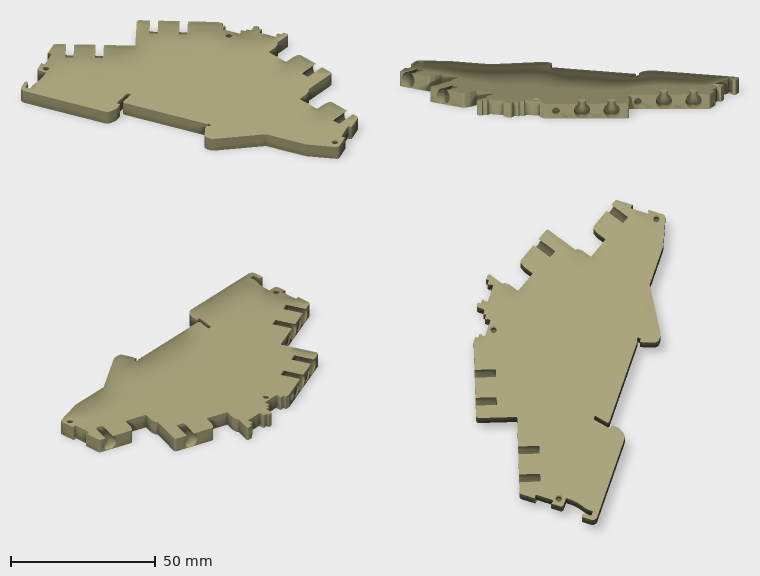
import cadquery as cq
import math

length = 114.17
height = 63.75
thickness = 5.2
slope_angle = 20.0
floor_skin = 0.5

left_wall_x = 1.38
left_tier_valley = (27.83, 37.74)
left_corner_radius = 1.0
left_tier_rise = 14.18

right_tier_valley = (71.83, 51.9)
right_tier_shift = (19.76, -20.0)
tier_block_start = 8.15
tier_block_lead_in = 8.75
tier_lead_in_height = 3.65
tier_block_height = 6.2
tier_end = 24.1
tier_end_step = (24.8, -6.6)
tier_end_step_foot = (25.4, -8.4)
tier_end_depth = -6.2
tier_corner_radius = 0.8
tier_lead_in_radius = 1.0

notch_mouth_half = 2.95
notch_floor_half = 2.7
notch_pocket_half = 3.15
notch_pocket_height = 1.25
notch_step_half = 4.45
notch_step_height = 2.07
notch_full_height = 3.1

tower_left_x = 61.7
tower_right_radius = 0.6
tower_left_radius = 0.87
tower_foot_radius = 0.6
tower_notch_x = 67.93
shoulder_notch_x = 55.6
shoulder_y = 60.69

left_notch_y = 19.55
right_notch_y = 21.2
side_notch_depth = 1.4

rail_y = 6.95
hook_floor_y = 3.83
hook_tip_y = 5.13
hook_mouth_top_y = 12.4
spring_slot_top_y = 12.4
foot_lip_y = 5.86
underside_y = 9.4
rail_relief_y = 7.3
rail_stop_x = 68.6
hook_pocket_x = (left_wall_x, 3.19)
hook_pocket_bottom_y = 2.1
hook_pocket_slant = 0.6

bore_radius = 2.78
bore_axis_z = 2.8
bore_length = 7.3
bore_floor_z = 0.22
bore_pitch = 10.25
lower_bore_along = -22.5
upper_bore_along = 6.03
right_bore_along = 17.94

screw_recess_diameter = 4.4
screw_recess_depth = 0.6
test_hole_diameter = 2.6
test_hole_depth = 5.0
test_hole_offset = 9.0

pin_hole_diameter = 1.9
pin_mouth_diameter = 2.75
pin_mouth_depth = 0.35
pin_hole_depth = 2.0
side_pin_y = 14.7
pin_hole_centers = [(55.6, 55.45), (3.9, side_pin_y), (111.8, side_pin_y)]

sin_slope = math.sin(math.radians(slope_angle))
cos_slope = math.cos(math.radians(slope_angle))


def shifted(point, shift, times=1):
    return (point[0] + times * shift[0], point[1] + times * shift[1])


def on_right_slope(valley, along, out):
    """Point given along and square to the slope that falls to the right."""
    return (valley[0] + along * cos_slope + out * sin_slope,
            valley[1] - along * sin_slope + out * cos_slope)


def on_left_slope(origin, along, out):
    """Point given along and square to the slope that rises to the right."""
    return (origin[0] + along * cos_slope - out * sin_slope,
            origin[1] + along * sin_slope + out * cos_slope)


upper_slope_corner = on_left_slope(left_tier_valley, 0, left_tier_rise)


def rounded_profile(corners):
    """Closed wire from (x, y, corner radius) entries."""
    joints = []
    count = len(corners)
    for i in range(count):
        x, y, radius = corners[i]
        before = cq.Vector(*corners[i - 1][:2])
        after = cq.Vector(*corners[(i + 1) % count][:2])
        corner = cq.Vector(x, y)
        if radius == 0:
            joints.append((corner, corner, corner))
            continue
        to_before = (before - corner).normalized()
        to_after = (after - corner).normalized()
        half_angle = to_before.getAngle(to_after) / 2
        setback = radius / math.tan(half_angle)
        bisector = (to_before + to_after).normalized()
        middle = corner + bisector * (radius / math.sin(half_angle) - radius)
        joints.append((corner + to_before * setback, middle, corner + to_after * setback))
    path = cq.Workplane("XY").moveTo(*joints[0][2].toTuple()[:2])
    for start, middle, end in joints[1:] + joints[:1]:
        path = path.lineTo(start.x, start.y)
        if start is not end:
            path = path.threePointArc((middle.x, middle.y), (end.x, end.y))
    return path.close()


def rail_foot_corners():
    """Underside from the hook, past the spring slot and the rail seat, to the right edge."""
    return [
        (0, 0, 1.75),
        (33.1, 0, 2.4),
        (35.0, 3.0, 2.0),
        (35.3, foot_lip_y, 0.5),
        (33.8, foot_lip_y, 0),
        (35.25, spring_slot_top_y, 0.5),
        (36.75, spring_slot_top_y, 0.3),
        (35.6, 7.5, 0),
        (36.0, rail_y, 0),
        (67.5, rail_y, 0),
        (67.5, rail_relief_y, 0),
        (rail_stop_x, rail_relief_y, 0),
        (rail_stop_x, 6.3, 0),
        (67.3, 6.0, 0),
        (67.5, 4.3, 3.0),
        (69.0, 0, 1.8),
        (72.1, 0, 2.2),
        (88.2, underside_y, 0),
        (103.1, underside_y, 0),
        (length, 12.2, 1.2),
    ]


def right_tier_corners():
    """Both right tiers from the right edge up to the tower, lower tier first."""
    corners = []
    lower_valley = shifted(right_tier_valley, right_tier_shift)
    edge_along = (length - lower_valley[0] - tier_block_height * sin_slope) / cos_slope
    end_along = {0: tier_end, 1: edge_along}
    for tier in (1, 0):
        valley = shifted(right_tier_valley, right_tier_shift, tier)
        previous = shifted(valley, right_tier_shift, -1)
        local = [
            (end_along[tier], tier_block_height, tier_corner_radius),
            (tier_block_lead_in, tier_block_height, tier_lead_in_radius),
            (tier_block_start, tier_lead_in_height, 0),
            (tier_block_start, 0, 0),
            (0, 0, 0),
        ]
        corners += [(*on_right_slope(valley, u, v), radius) for u, v, radius in local]
        end_wall = [tier_end_step_foot, tier_end_step, (tier_end, tier_end_depth)]
        corners += [(*on_right_slope(previous, u, v), 0) for u, v in end_wall]
    return corners


def tower_corners():
    wall_along = tier_end - (right_tier_shift[0] * cos_slope - right_tier_shift[1] * sin_slope)
    wall_out = (height - right_tier_valley[1] + wall_along * sin_slope) / cos_slope
    tower_right = on_right_slope(right_tier_valley, wall_along, wall_out)
    slope_run = (shoulder_y - upper_slope_corner[1]) / math.tan(math.radians(slope_angle))
    shoulder_start_x = upper_slope_corner[0] + slope_run
    return [
        (*tower_right, tower_right_radius),
        (tower_left_x, height, tower_left_radius),
        (tower_left_x, shoulder_y, tower_foot_radius),
        (shoulder_start_x, shoulder_y, 0),
    ]


def left_tier_corners():
    """Upper slope corner, valley and lower slope corner."""
    wall_along = (left_wall_x - left_tier_valley[0]) / cos_slope
    lower = on_left_slope(left_tier_valley, wall_along, 0)
    return [
        (*upper_slope_corner, left_corner_radius),
        (*left_tier_valley, 0),
        (*lower, left_corner_radius),
    ]


def hook_corners():
    """Mouth and tip of the hook at the left end of the foot."""
    return [
        (left_wall_x, hook_mouth_top_y, 1.0),
        (4.87, hook_mouth_top_y, 0),
        (4.87, 8.4, 16.5),
        (3.5, 5.1, 0),
        (hook_pocket_x[1], hook_floor_y, 0),
        (1.9, hook_floor_y, 0),
        (hook_pocket_x[0], 4.4, 0),
        (1.1, hook_tip_y, 0),
        (0, hook_tip_y, 0.5),
    ]


def marker_notch(floor_center, facing_angle):
    """Notch with thin lips at the bottom face; it opens along +Y before turning."""
    lips = (cq.Workplane("XY")
            .polyline([(-notch_floor_half, 0), (notch_floor_half, 0),
                       (notch_mouth_half, notch_step_height), (-notch_mouth_half, notch_step_height)])
            .close().extrude(thickness))
    pocket = (cq.Workplane("XY").workplane(offset=floor_skin)
              .center(0, notch_pocket_height / 2)
              .rect(2 * notch_pocket_half, notch_pocket_height).extrude(thickness))
    notch = lips.union(pocket)
    return notch.rotate((0, 0, 0), (0, 0, 1), facing_angle).translate((*floor_center, 0))


def notch_step(floor_center):
    """Wide upper step of the notches on the tower."""
    step_height = notch_full_height - notch_step_height
    return (cq.Workplane("XY")
            .center(floor_center[0], floor_center[1] + notch_step_height + step_height / 2)
            .rect(2 * notch_step_half, step_height).extrude(thickness))


def clamping_bore(mouth, axis_sign):
    """Bore running into the slope; its flat floor keeps the bottom face closed."""
    inward = cq.Vector(axis_sign * sin_slope, -cos_slope, 0)
    start = cq.Vector(mouth[0], mouth[1], bore_axis_z) - inward * bore_radius
    bore = cq.Workplane(cq.Solid.makeCylinder(bore_radius, bore_length + bore_radius, start, inward))
    skin_size = 4 * bore_length
    kept_below = (cq.Workplane("XY").workplane(offset=-thickness).center(*mouth)
                  .rect(skin_size, skin_size).extrude(thickness + bore_floor_z))
    return bore.cut(kept_below)


def slope_plane(mouth):
    """Sketch plane lying on a left slope at mid thickness, facing into the part; local Y is Z."""
    origin = (*mouth, thickness / 2)
    return cq.Plane(origin, xDir=(-cos_slope, -sin_slope, 0), normal=(sin_slope, -cos_slope, 0))


def screw_recess(mouth):
    return cq.Workplane(slope_plane(mouth)).circle(screw_recess_diameter / 2).extrude(screw_recess_depth)


def test_hole(mouth):
    return cq.Workplane(slope_plane(mouth)).circle(test_hole_diameter / 2).extrude(test_hole_depth)


def pin_hole(center):
    hole = (cq.Workplane("XY").workplane(offset=thickness - pin_hole_depth).center(*center)
            .circle(pin_hole_diameter / 2).extrude(pin_hole_depth))
    mouth = cq.Solid.makeCone(pin_hole_diameter / 2, pin_mouth_diameter / 2, pin_mouth_depth,
                              cq.Vector(*center, thickness - pin_mouth_depth))
    return hole.union(cq.Workplane(mouth))


def hook_pocket():
    x_start, x_end = hook_pocket_x
    return (cq.Workplane("XY").workplane(offset=floor_skin)
            .moveTo(x_start, hook_pocket_bottom_y)
            .lineTo(x_end, hook_pocket_bottom_y)
            .lineTo(x_end, hook_floor_y)
            .lineTo(x_start, hook_floor_y + hook_pocket_slant)
            .close().extrude(thickness))


outline = (rail_foot_corners() + right_tier_corners() + tower_corners()
           + left_tier_corners() + hook_corners())
body = rounded_profile(outline).extrude(thickness)

tower_notch_floors = [(shoulder_notch_x, shoulder_y - notch_full_height),
                      (tower_notch_x, height - notch_full_height)]
for floor_center in tower_notch_floors:
    body = body.cut(marker_notch(floor_center, 0)).cut(notch_step(floor_center))
body = body.cut(marker_notch((left_wall_x + side_notch_depth, left_notch_y), 90))
body = body.cut(marker_notch((length - side_notch_depth, right_notch_y), -90))

left_slopes = [(left_tier_valley, lower_bore_along), (upper_slope_corner, upper_bore_along)]
for slope_origin, first_along in left_slopes:
    for place in range(2):
        along = first_along + place * bore_pitch
        body = body.cut(clamping_bore(on_left_slope(slope_origin, along, 0), 1))
        body = body.cut(screw_recess(on_left_slope(slope_origin, along + bore_pitch / 2, 0)))
    test_hole_along = first_along + bore_pitch + test_hole_offset
    body = body.cut(test_hole(on_left_slope(slope_origin, test_hole_along, 0)))
for tier in range(2):
    valley = shifted(right_tier_valley, right_tier_shift, tier)
    body = body.cut(clamping_bore(on_right_slope(valley, right_bore_along, tier_block_height), -1))

for center in pin_hole_centers:
    body = body.cut(pin_hole(center))
body = body.cut(hook_pocket())

result = body